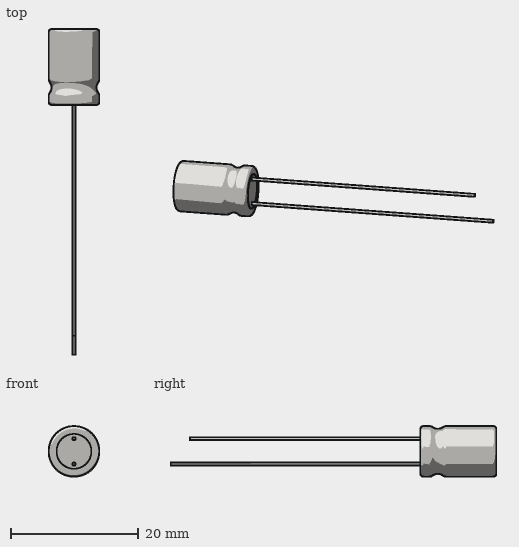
import cadquery as cq
import math

TOTAL_LENGTH = 51.2
CAN_DIAMETER = 8.0
CAN_LENGTH = 12.0
END_FILLET = 0.5

GROOVE_CENTER = 2.75
GROOVE_WIDTH = 2.6
HOLLOW_WIDTH = 1.7
SEAM_DIAMETER = 7.7

RECESS_DIAMETER = 5.5
RECESS_DEPTH = 0.1

LEAD_DIAMETER = 0.5
LEAD_PITCH = 4.0
LEAD_LENGTH_DIFFERENCE = 3.0
LONG_LEAD_TIP = CAN_LENGTH - TOTAL_LENGTH
SHORT_LEAD_TIP = LONG_LEAD_TIP + LEAD_LENGTH_DIFFERENCE

CAN_RADIUS = CAN_DIAMETER / 2


def make_can():
    """Revolve the grooved outline, round both ends and recess the lead end."""
    half_groove = GROOVE_WIDTH / 2
    half_hollow = HOLLOW_WIDTH / 2
    seam_radius = SEAM_DIAMETER / 2
    shoulder_width = half_groove - half_hollow

    seam_angle = 2 * math.atan((CAN_RADIUS - seam_radius) / shoulder_width)
    hollow_arc_radius = half_hollow / math.sin(seam_angle)
    waist_radius = seam_radius - hollow_arc_radius * (1 - math.cos(seam_angle))

    can = (
        cq.Workplane("XY")
        .lineTo(CAN_RADIUS, 0)
        .lineTo(CAN_RADIUS, GROOVE_CENTER - half_groove)
        .tangentArcPoint((seam_radius, GROOVE_CENTER - half_hollow), relative=False)
        .threePointArc((waist_radius, GROOVE_CENTER), (seam_radius, GROOVE_CENTER + half_hollow))
        .tangentArcPoint((CAN_RADIUS, GROOVE_CENTER + half_groove), relative=False)
        .lineTo(CAN_RADIUS, CAN_LENGTH)
        .lineTo(0, CAN_LENGTH)
        .close()
        .revolve(360, (0, 0), (0, 1))
    )
    can = can.faces("<Y or >Y").edges().fillet(END_FILLET)
    recess = cylinder_along_y(RECESS_DIAMETER, 0, RECESS_DEPTH)
    return can.cut(recess)


def cylinder_along_y(diameter, start, end, height=0):
    """Cylinder parallel to Y between two Y positions, centred at Z = height."""
    return cq.Workplane("XZ", origin=(0, start, height)).circle(diameter / 2).extrude(start - end)


def make_lead(tip, height):
    """Round wire from its tip to the floor of the recess."""
    return cylinder_along_y(LEAD_DIAMETER, tip, RECESS_DEPTH, height)


can = make_can()
leads = [
    make_lead(tip, height)
    for tip, height in ((LONG_LEAD_TIP, -LEAD_PITCH / 2), (SHORT_LEAD_TIP, LEAD_PITCH / 2))
]

result = cq.Compound.makeCompound([can.val(), *[lead.val() for lead in leads]])